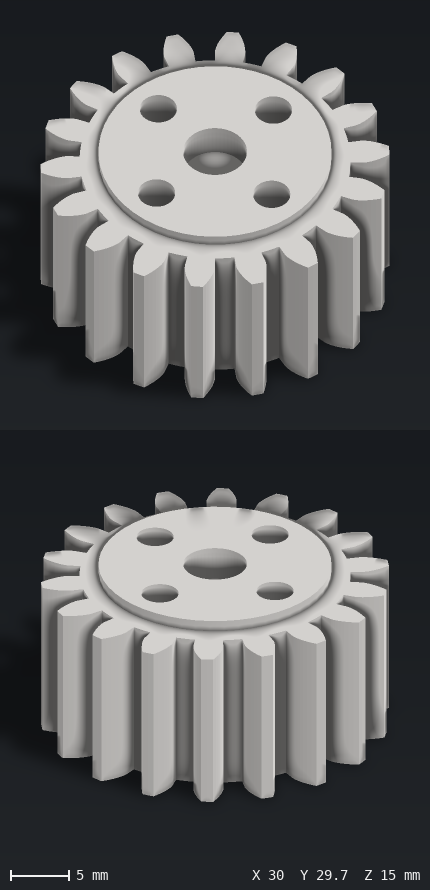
import cadquery as cq
import math


TEETH = 18
MODULE = 1.5
PRESSURE_ANGLE = math.radians(20)
PITCH_RADIUS = MODULE * TEETH / 2
BASE_RADIUS = PITCH_RADIUS * math.cos(PRESSURE_ANGLE)
TIP_RADIUS = PITCH_RADIUS + MODULE
ROOT_RADIUS = PITCH_RADIUS - 1.25 * MODULE
TOOTH_PITCH = 2 * math.pi / TEETH

FLANK_FACETS = 10
TIP_FACETS = 2
ROOT_FACETS = 3

TOTAL_HEIGHT = 15.0
HUB_HEIGHT = 1.0
GEAR_HEIGHT = TOTAL_HEIGHT - HUB_HEIGHT
HUB_DIAMETER = 20.0

BORE_DIAMETER = 5.5
BORE_DEPTH = 3.0
HOLE_COUNT = 4
HOLE_DIAMETER = 3.2
HOLE_CIRCLE_RADIUS = 7.0
HOLE_START_ANGLE = 80.0


def polar_point(radius, angle):
    return (radius * math.cos(angle), radius * math.sin(angle))


def involute_angle(roll):
    """Polar angle swept by an involute, where roll is the tangent of its pressure angle."""
    return roll - math.atan(roll)


BASE_HALF_ANGLE = TOOTH_PITCH / 4 + involute_angle(math.tan(PRESSURE_ANGLE))
TIP_ROLL = math.sqrt((TIP_RADIUS / BASE_RADIUS) ** 2 - 1)
TIP_HALF_ANGLE = BASE_HALF_ANGLE - involute_angle(TIP_ROLL)


def flank_points():
    """Radius and half angle along one flank, from the base circle out to the tip."""
    points = []
    for step in range(FLANK_FACETS + 1):
        roll = TIP_ROLL * step / FLANK_FACETS
        radius = BASE_RADIUS * math.sqrt(1 + roll ** 2)
        points.append((radius, BASE_HALF_ANGLE - involute_angle(roll)))
    return points


def tooth_points(centre):
    """One tooth counter-clockwise, followed by the root up to the next tooth."""
    flank = flank_points()
    points = [polar_point(radius, centre - half) for radius, half in flank]
    for step in range(1, TIP_FACETS):
        offset = TIP_HALF_ANGLE * (2 * step / TIP_FACETS - 1)
        points.append(polar_point(TIP_RADIUS, centre + offset))
    points += [polar_point(radius, centre + half) for radius, half in reversed(flank)]

    root_start = centre + BASE_HALF_ANGLE
    root_span = TOOTH_PITCH - 2 * BASE_HALF_ANGLE
    for step in range(ROOT_FACETS + 1):
        points.append(polar_point(ROOT_RADIUS, root_start + root_span * step / ROOT_FACETS))
    return points


outline = []
for tooth in range(TEETH):
    outline += tooth_points(tooth * TOOTH_PITCH)
gear = cq.Workplane("XY").polyline(outline).close().extrude(GEAR_HEIGHT)

hub = cq.Workplane("XY").workplane(offset=GEAR_HEIGHT).circle(HUB_DIAMETER / 2).extrude(HUB_HEIGHT)
body = gear.union(hub)

body = body.faces(">Z").workplane(origin=(0, 0, TOTAL_HEIGHT)).hole(BORE_DIAMETER, BORE_DEPTH)
result = (
    body.faces(">Z")
    .workplane(origin=(0, 0, TOTAL_HEIGHT))
    .polarArray(HOLE_CIRCLE_RADIUS, HOLE_START_ANGLE, 360, HOLE_COUNT)
    .hole(HOLE_DIAMETER)
)